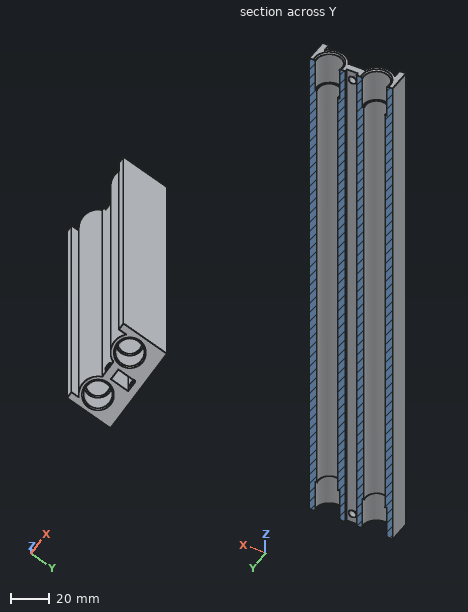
import cadquery as cq

width = 50.0
depth = 28.0
length = 306.0

leg_width = 4.0
web_setback = 8.0
barrel_radius = 10.0
bore_spacing = 28.2
bore_setback = 12.0

bore_diameter = 13.0
socket_diameter = 15.0
socket_depth = 20.0
mouth_diameter = 16.7
mouth_chamfer = (mouth_diameter - socket_diameter) / 2

channel_width = 6.5
channel_depth = 11.0
channel_setback = 12.5

mount_diameter = 4.5
mount_end_distance = 6.0

front_y = -depth / 2
back_y = depth / 2
bore_y = front_y + bore_setback
bore_centers = [(side * bore_spacing / 2, bore_y) for side in (-1, 1)]


def box_prism(x_size, y_min, y_max):
    """Full-length rectangular prism centred on X."""
    return (
        cq.Workplane("XY", origin=(0, (y_min + y_max) / 2, 0))
        .rect(x_size, y_max - y_min)
        .extrude(length)
    )


def round_prisms(diameter, height, taper=0):
    """One cylinder, or cone narrowing upwards, on each bore axis."""
    return (
        cq.Workplane("XY")
        .pushPoints(bore_centers)
        .circle(diameter / 2)
        .extrude(height, taper=taper)
    )


def make_profile():
    """Block with an open front channel into which the two barrels bulge."""
    block = box_prism(width, front_y, back_y)
    opening = box_prism(width - 2 * leg_width, front_y, front_y + web_setback)
    barrels = round_prisms(2 * barrel_radius, length)
    return block.cut(opening).union(barrels.intersect(block))


def cut_bores(body):
    """Through bores with a chamfered socket at both ends."""
    body = body.cut(round_prisms(bore_diameter, length))
    sockets = round_prisms(socket_diameter, socket_depth)
    mouths = round_prisms(mouth_diameter, mouth_chamfer, taper=45)
    middle = (0, 0, length / 2)
    for cutter in (sockets, mouths):
        body = body.cut(cutter).cut(cutter.mirror("XY", middle))
    return body


def cut_channel(body):
    """Rectangular channel along the full length."""
    channel_y = front_y + channel_setback
    return body.cut(box_prism(channel_width, channel_y, channel_y + channel_depth))


def cut_mount_holes(body):
    """Hole through the web near each end."""
    for hole_z in (mount_end_distance, length - mount_end_distance):
        hole = (
            cq.Workplane("XZ", origin=(0, back_y, hole_z))
            .circle(mount_diameter / 2)
            .extrude(depth)
        )
        body = body.cut(hole)
    return body


result = cut_mount_holes(cut_channel(cut_bores(make_profile())))